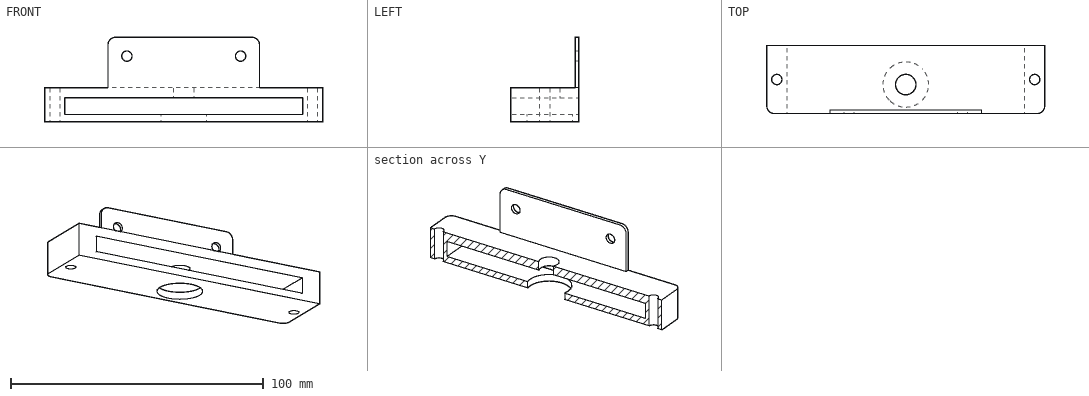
import cadquery as cq

BODY_LENGTH = 110.0
BODY_DEPTH = 27.0
BODY_HEIGHT = 13.5
CORNER_RADIUS = 3.0

SLOT_END_WALL = 8.0
SLOT_FLOOR = 3.0
SLOT_HEIGHT = 6.5
SLOT_LENGTH = BODY_LENGTH - 2 * SLOT_END_WALL

TAB_WIDTH = 60.0
TAB_HEIGHT = 20.0
TAB_THICKNESS = 1.5
TAB_HOLE_SPACING = 45.0
TAB_HOLE_DROP = 7.5

SCREW_HOLE_DIAMETER = 4.0
SCREW_HOLE_INSET = 4.0
SCREW_HOLE_Y = BODY_DEPTH / 2
ROOF_HOLE_DIAMETER = 8.0
FLOOR_HOLE_DIAMETER = 18.0
CENTRE_HOLE_Y = 11.5

SLOT_MID_HEIGHT = SLOT_FLOOR + SLOT_HEIGHT / 2
TOTAL_HEIGHT = BODY_HEIGHT + TAB_HEIGHT


def make_body():
    """Block with rounded front vertical edges."""
    block = cq.Workplane("XY").box(
        BODY_LENGTH, BODY_DEPTH, BODY_HEIGHT, centered=(True, False, False)
    )
    return block.faces("<Y").edges("|Z").fillet(CORNER_RADIUS)


def make_tab():
    """Thin plate standing on the body, with rounded top corners."""
    plate = cq.Workplane("XY").workplane(offset=BODY_HEIGHT).box(
        TAB_WIDTH, TAB_THICKNESS, TAB_HEIGHT, centered=(True, False, False)
    )
    return plate.faces(">Z").edges("|Y").fillet(CORNER_RADIUS)


def make_slot():
    """Cutter for the front-to-back slot."""
    return cq.Workplane("XY").workplane(offset=SLOT_FLOOR).box(
        SLOT_LENGTH, BODY_DEPTH, SLOT_HEIGHT, centered=(True, False, False)
    )


def make_tab_holes():
    """Cutters for the two screw holes through the tab, along Y."""
    half_spacing = TAB_HOLE_SPACING / 2
    hole_z = TOTAL_HEIGHT - TAB_HOLE_DROP
    return (
        cq.Workplane("XZ")
        .pushPoints([(-half_spacing, hole_z), (half_spacing, hole_z)])
        .circle(SCREW_HOLE_DIAMETER / 2)
        .extrude(-TAB_THICKNESS)
    )


def make_end_holes():
    """Cutters for the screw holes through the solid ends of the body."""
    hole_x = BODY_LENGTH / 2 - SCREW_HOLE_INSET
    return (
        cq.Workplane("XY")
        .pushPoints([(-hole_x, SCREW_HOLE_Y), (hole_x, SCREW_HOLE_Y)])
        .circle(SCREW_HOLE_DIAMETER / 2)
        .extrude(BODY_HEIGHT)
    )


def make_centre_hole(diameter, bottom, top):
    """Cutter for a round hole on the body's central axis."""
    return (
        cq.Workplane("XY", origin=(0, CENTRE_HOLE_Y, bottom))
        .circle(diameter / 2)
        .extrude(top - bottom)
    )


result = make_body().union(make_tab())
result = result.cut(make_slot())
result = result.cut(make_tab_holes())
result = result.cut(make_end_holes())

result = result.cut(make_centre_hole(FLOOR_HOLE_DIAMETER, 0, SLOT_MID_HEIGHT))
result = result.cut(make_centre_hole(ROOF_HOLE_DIAMETER, SLOT_MID_HEIGHT, BODY_HEIGHT))